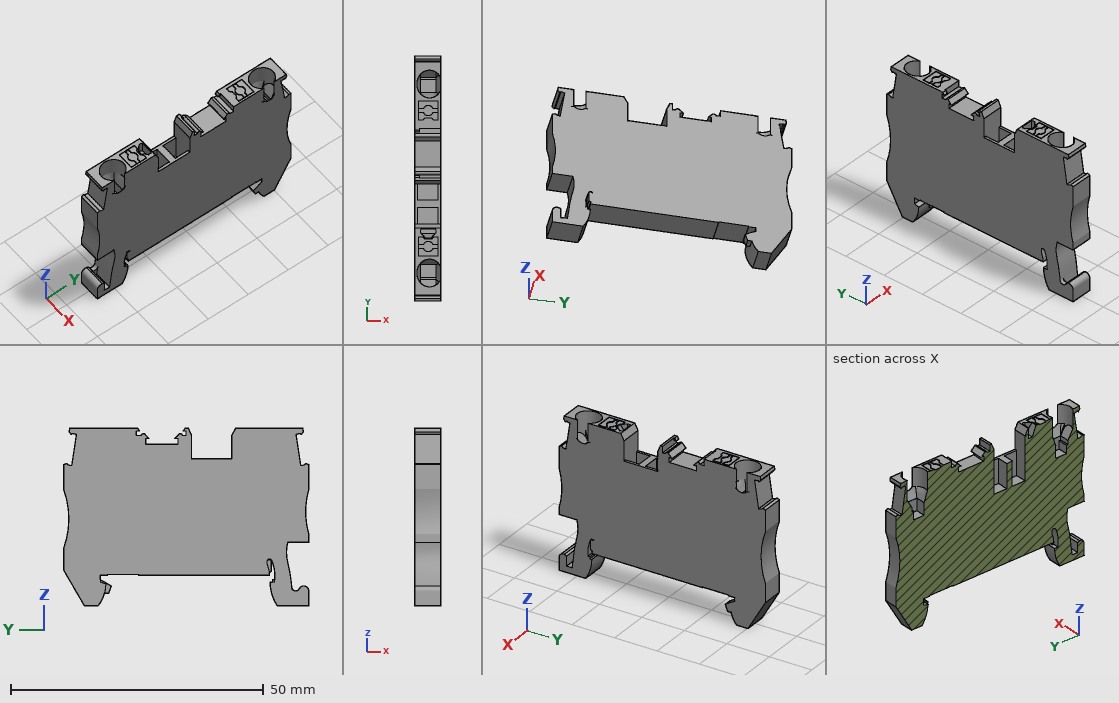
import cadquery as cq


thickness = 5.15
length = 48.6
height = 35.25
half_length = length / 2

lip_top_y = 23.1
shoulder_z = 28.0
ear_floor_z = 27.85
grip_top_z = 23.1

marker_floor_z = 32.1
marker_ledge_z = 33.8
barb_z = 33.15
bridge_floor_z = 29.2
bridge_chamfer_z = 33.8
bridge_y_min = -9.0
bridge_y_max = -1.05
lip_wall_y = (9.85, 0.1)
lip_under_z = 34.65
lip_width = 0.95

underside_z = 6.08
relief_depth = 0.15
clip_notch_z = 12.6
clip_ledge_z = 4.7
clip_lip_z = 4.0
neck_foot_y = -20.95
neck_foot_z = 3.55
pry_web = 1.0
pry_y_min = -22.55
pry_floor_z = 1.45
pry_wall_lean = 0.3
inner_layer_x = 3.4

entry_y = 18.7
entry_x = 2.9
entry_radius_x = 2.505
entry_radius_y = 2.745
entry_depth = 4.35
taper_depth = 2.45
throat_depth = 2.9
throat_width = 3.1
throat_y_min = 17.0
throat_y_max = 20.0
throat_step = 0.4
throat_step_depth = 0.95
detail_x = 2.65
mark_y = 13.45
mark_width = 3.9
mark_length = 3.8
mark_depth = 0.1
slot_depth = 0.3
slot_width = 0.8
screw_radius = 1.0
bite_base = 2.15
bite_tip = 1.35
bite_height = 0.45

pocket_wall = 0.6
pocket_length = 3.2
pocket_depth = 5.85

funnel_depth = 2.45
funnel_y_max = -9.95
funnel_slope_y = -10.9
funnel_y_min = -11.8


def prism(points, x_min, x_max):
    """Extrude a closed Y-Z polygon between two X positions."""
    return cq.Workplane("YZ").workplane(offset=x_min).polyline(points).close().extrude(x_max - x_min)


def top_plane(depth=0.0):
    """Horizontal plane at the given depth below the top; local axes are X and Y."""
    return cq.Workplane("XY").workplane(offset=height - depth)


def make_end_notch():
    """Cutter outside the overhanging lip, slanted neck and eared shoulder, at the +Y end."""
    return (
        cq.Workplane("YZ")
        .moveTo(lip_top_y, height)
        .lineTo(23.25, 34.5)
        .lineTo(22.8, 33.9)
        .lineTo(22.55, 34.15)
        .lineTo(21.75, 33.95)
        .lineTo(22.7, ear_floor_z)
        .threePointArc((23.3, 27.95), (23.7, 28.25))
        .lineTo(half_length, shoulder_z)
        .lineTo(half_length, height)
        .close()
        .extrude(thickness)
    )


def make_bridge_notch():
    """Cutter for the deep bridge notch with its chamfered mouth."""
    outline = [
        (-9.75, height),
        (bridge_y_min, bridge_chamfer_z),
        (bridge_y_min, bridge_floor_z),
        (bridge_y_max, bridge_floor_z),
        (bridge_y_max, bridge_chamfer_z),
        (-0.45, height),
    ]
    return prism(outline, 0, thickness)


def make_marker_groove():
    """Cutter for the stepped marker groove with a snap barb on each side."""
    wall_pos, wall_neg = lip_wall_y
    return (
        cq.Workplane("YZ")
        .moveTo(wall_neg, height)
        .lineTo(wall_neg, marker_ledge_z)
        .lineTo(0.75, marker_ledge_z)
        .threePointArc((1.0, 34.1), (1.35, 34.1))
        .lineTo(2.35, barb_z)
        .lineTo(1.65, barb_z)
        .lineTo(1.65, marker_floor_z)
        .lineTo(8.0, marker_floor_z)
        .lineTo(8.0, barb_z)
        .lineTo(7.4, barb_z)
        .lineTo(8.25, 34.1)
        .threePointArc((8.6, 34.1), (8.95, marker_ledge_z))
        .lineTo(wall_pos, marker_ledge_z)
        .lineTo(wall_pos, height)
        .close()
        .extrude(thickness)
    )


def make_body():
    """Side outline without the notches that are cut in from the top."""
    profile = (
        cq.Workplane("YZ")
        .moveTo(half_length, height)
        .lineTo(half_length, grip_top_z)
        .threePointArc((23.3, 17.25), (half_length, 11.4))
        .lineTo(half_length, 7.1)
        .lineTo(20.15, 0)
        .lineTo(17.5, 0)
        .threePointArc((16.3, 2.2), (15.95, 4.05))
        .lineTo(15.9, 4.35)
        .lineTo(17.0, clip_ledge_z)
        .lineTo(17.0, underside_z)
    )
    profile = (
        profile.lineTo(15.55, underside_z)
        .lineTo(15.55, underside_z + relief_depth)
        .lineTo(9.5, underside_z + relief_depth)
        .lineTo(9.5, underside_z)
        .lineTo(-16.5, underside_z)
    )
    profile = (
        profile.lineTo(-16.45, 7.0)
        .lineTo(-16.05, 8.3)
        .lineTo(-16.05, 8.95)
        .threePointArc((-16.4, 9.3), (-16.85, 9.1))
        .threePointArc((-17.25, 8.0), (-17.5, 6.65))
        .lineTo(-17.5, clip_ledge_z)
        .lineTo(-16.55, clip_ledge_z)
        .threePointArc((-16.9, 2.45), (-18.05, 0))
        .lineTo(-half_length, 0)
        .lineTo(-half_length, 2.85)
        .threePointArc((-24.0, 3.65), (-23.3, clip_lip_z))
        .lineTo(-23.05, clip_lip_z)
        .threePointArc((-22.6, 3.75), (-22.25, 3.25))
        .threePointArc((-21.6, 3.0), (neck_foot_y, neck_foot_z))
    )
    profile = (
        profile.threePointArc((-20.6, 6.25), (-20.1, 8.65))
        .threePointArc((-19.9, 10.6), (-20.1, clip_notch_z))
        .lineTo(-half_length, clip_notch_z)
        .lineTo(-half_length, 14.25)
        .threePointArc((-23.65, 18.65), (-half_length, grip_top_z))
    )
    return profile.lineTo(-half_length, height).close().extrude(thickness)


def make_marker_lips():
    """Two short hooks over the marker groove, next to the -X face."""
    wall_pos, wall_neg = lip_wall_y
    lip_pos = [(wall_pos, height), (9.6, height), (9.25, lip_under_z), (wall_pos, lip_under_z)]
    lip_neg = [(wall_neg, height), (0.25, height), (0.65, lip_under_z), (wall_neg, lip_under_z)]
    overlap = 0.25
    lip_pos += [(wall_pos + overlap, lip_under_z), (wall_pos + overlap, height)]
    lip_neg += [(wall_neg - overlap, lip_under_z), (wall_neg - overlap, height)]
    return prism(lip_pos, 0, lip_width).union(prism(lip_neg, 0, lip_width))


def make_inner_layer():
    """Rail hook, slot filler and clip step that exist only towards the +X face."""
    hook = [(17.1, 5.3), (14.8, 3.95), (15.35, 2.5), (18.0, 2.5), (18.0, 5.3)]
    filler = [(-16.85, 9.15), (-16.85, 6.85), (-16.5, 6.6), (-15.55, 6.6), (-15.55, 9.15)]
    step = [(-17.05, 4.35), (-17.05, 5.2), (-17.75, 5.2), (-17.75, 4.35)]
    layer = prism(hook, inner_layer_x, thickness)
    for points in (filler, step):
        layer = layer.union(prism(points, inner_layer_x, thickness))
    return layer


def make_pry_slot():
    """Screwdriver slot between clip neck and clip lip, leaving a thin web at the -X face."""
    outline = [
        (neck_foot_y - pry_wall_lean, pry_floor_z),
        (neck_foot_y, neck_foot_z),
        (pry_y_min, clip_lip_z),
        (pry_y_min, pry_floor_z),
    ]
    return prism(outline, pry_web, thickness)


def make_wire_entry():
    """Oval bore narrowing to a stepped rectangular throat, at the +Y end."""
    throat_length = throat_y_max - throat_y_min
    throat_y = (throat_y_max + throat_y_min) / 2
    throat_top = entry_depth + taper_depth
    bore = top_plane().center(entry_x, entry_y).ellipse(entry_radius_x, entry_radius_y).extrude(-entry_depth)
    taper = (
        top_plane(entry_depth)
        .center(entry_x, entry_y)
        .ellipse(entry_radius_x, entry_radius_y)
        .workplane(offset=-taper_depth)
        .center(detail_x - entry_x, throat_y - entry_y)
        .rect(throat_width, throat_length)
        .loft(combine=True)
    )
    ramp_outline = [
        (throat_y, -taper_depth),
        (throat_y_max, -taper_depth),
        (entry_y + entry_radius_y, 0),
        (throat_y, 0),
    ]
    ramp_points = [(y, height - entry_depth + drop) for y, drop in ramp_outline]
    ramp_left = detail_x - throat_width / 2
    column = (
        top_plane(entry_depth)
        .center(entry_x, entry_y)
        .ellipse(entry_radius_x, entry_radius_y)
        .extrude(-taper_depth)
    )
    ramp = prism(ramp_points, ramp_left, ramp_left + throat_width).intersect(column)
    step = top_plane(throat_top).center(detail_x, throat_y).rect(throat_width, throat_length)
    throat = (
        top_plane(throat_top)
        .center(detail_x, throat_y - throat_step / 2)
        .rect(throat_width, throat_length - throat_step)
    )
    entry = bore.union(taper).union(ramp)
    return entry.union(step.extrude(-throat_step_depth)).union(throat.extrude(-throat_depth))


def make_screw_mark():
    """Shallow square with a notched inner edge and a deeper slotted circle, at the +Y end."""
    inner_edge = mark_y - mark_length / 2
    square = top_plane().center(detail_x, mark_y).rect(mark_width, mark_length).extrude(-mark_depth)
    bite = (
        top_plane()
        .polyline([
            (detail_x - bite_base / 2, inner_edge),
            (detail_x + bite_base / 2, inner_edge),
            (detail_x + bite_tip / 2, inner_edge + bite_height),
            (detail_x - bite_tip / 2, inner_edge + bite_height),
        ])
        .close()
        .extrude(-mark_depth)
    )
    slot = top_plane().center(detail_x, mark_y).rect(mark_width, slot_width).extrude(-slot_depth)
    screw = top_plane().center(detail_x, mark_y).circle(screw_radius).extrude(-slot_depth)
    return square.cut(bite).union(slot).union(screw)


def make_bridge_pockets():
    """Two rectangular shafts in the bridge notch floor, one against each end wall."""
    first_y = bridge_y_max - pocket_length / 2
    second_y = bridge_y_min + pocket_length / 2
    return (
        top_plane(height - bridge_floor_z)
        .pushPoints([(thickness / 2, first_y), (thickness / 2, second_y)])
        .rect(thickness - 2 * pocket_wall, pocket_length)
        .extrude(-pocket_depth)
    )


def make_funnel_pocket():
    """Pocket narrowing towards -Y whose floor ramps up to the top face."""
    pocket = (
        top_plane()
        .moveTo(detail_x - 1.35, funnel_y_max)
        .lineTo(detail_x + 1.35, funnel_y_max)
        .threePointArc((detail_x + 1.55, -10.35), (detail_x + 1.5, -10.75))
        .lineTo(detail_x + 0.55, funnel_y_min)
        .lineTo(detail_x - 0.55, funnel_y_min)
        .lineTo(detail_x - 1.5, -10.75)
        .threePointArc((detail_x - 1.55, -10.35), (detail_x - 1.35, funnel_y_max))
        .close()
        .extrude(-funnel_depth)
    )
    ramp = [
        (funnel_y_min, height),
        (funnel_slope_y, height - funnel_depth),
        (funnel_y_min, height - funnel_depth),
    ]
    return pocket.cut(prism(ramp, 0, thickness))


body = make_body().cut(make_bridge_notch()).cut(make_marker_groove())
body = body.union(make_marker_lips()).union(make_inner_layer())

for detail in (make_end_notch(), make_wire_entry(), make_screw_mark()):
    body = body.cut(detail).cut(detail.mirror("XZ"))

result = body.cut(make_bridge_pockets()).cut(make_funnel_pocket()).cut(make_pry_slot())